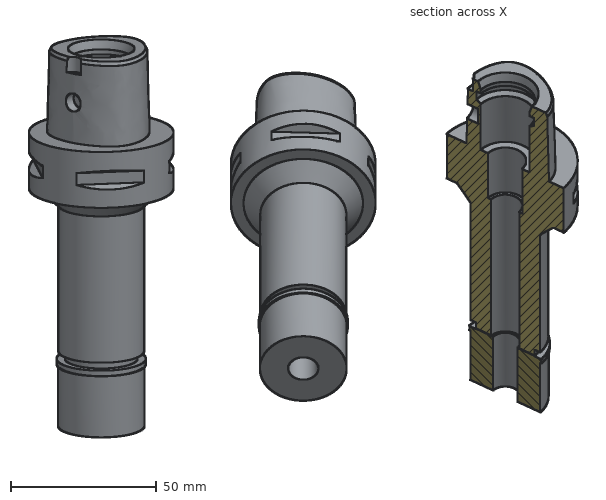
import cadquery as cq
import math

total_length = 135.0
taper_length = 30.0
flange_thickness = 20.0
cone_length = 6.0
neck_length = 2.7
nut_length = 24.0
flange_base = total_length - taper_length - flange_thickness
taper_base = flange_base + flange_thickness
cone_base = flange_base - cone_length
shaft_base = nut_length + neck_length

flange_diameter = 50.0
cone_diameter = 41.2
shaft_diameter = 29.7
neck_diameter = 25.1
nut_diameter = 30.0

lobe_mean_radius = 17.7
lobe_height = 1.1
taper_inset = 0.74
lobe_points = 72
rim_chamfer_height = 1.4
rim_chamfer_width = 0.7

mouth_diameter = 23.0
socket_diameter = 20.7
groove_diameter = 24.3
upper_bore_diameter = 14.5
lower_bore_diameter = 11.9
nut_bore_diameter = 10.4
mouth_depth = 3.2
lip_depth = 5.0
groove_depth = 8.4
ledge_depth = 9.6
socket_depth = taper_length
upper_bore_depth = socket_depth + flange_thickness

notch_diameter = 6.8
notch_depth = 5.4
notch_center_y = -17.21
side_hole_diameter = 6.3
side_hole_drop = 15.7
side_hole_floor_y = -11.6

slot_count = 4
slot_floor_distance = 22.0
slot_floor_width = 4.2
slot_drop = 0.1
slot_outer_width = 6.8

rim_diameter = 30.8
rim_height = 2.0


def lobed_wire(mean_radius, z):
    """Closed curve of constant width, with lobes of support function R + e*cos(3t)."""
    points = []
    for index in range(lobe_points):
        turn = 2 * math.pi * index / lobe_points
        support = mean_radius + lobe_height * math.cos(3 * turn)
        slope = -3 * lobe_height * math.sin(3 * turn)
        x = -support * math.sin(turn) - slope * math.cos(turn)
        y = support * math.cos(turn) - slope * math.sin(turn)
        points.append(cq.Vector(x, y, z))
    return cq.Wire.assembleEdges([cq.Edge.makeSpline(points, periodic=True)])


def lobed_frustum(base_radius, base_z, top_radius, top_z):
    wires = [lobed_wire(base_radius, base_z), lobed_wire(top_radius, top_z)]
    return cq.Workplane(obj=cq.Solid.makeLoft(wires, True))


def make_taper():
    chamfer_z = total_length - rim_chamfer_height
    top_radius = lobe_mean_radius - taper_inset
    cone = lobed_frustum(lobe_mean_radius, taper_base, top_radius, chamfer_z)
    rim = lobed_frustum(top_radius, chamfer_z, top_radius - rim_chamfer_width, total_length)
    return cone.union(rim)


def make_shank():
    """Flange, cone, shaft and neck, turned about Z."""
    profile = [
        (0, nut_length),
        (neck_diameter / 2, nut_length),
        (neck_diameter / 2, shaft_base),
        (shaft_diameter / 2, shaft_base),
        (shaft_diameter / 2, cone_base),
        (cone_diameter / 2, flange_base),
        (flange_diameter / 2, flange_base),
        (flange_diameter / 2, taper_base),
        (0, taper_base),
    ]
    return cq.Workplane("XZ").polyline(profile).close().revolve(360, (0, 0), (0, 1))


def make_bore():
    """Conical mouth, lip, undercut groove with a sloping ledge, socket and two bores, turned about Z."""
    upper_bore_base = total_length - upper_bore_depth
    socket_base = total_length - socket_depth
    groove_base = total_length - groove_depth
    lip_base = total_length - lip_depth
    profile = [
        (0, nut_length),
        (lower_bore_diameter / 2, nut_length),
        (lower_bore_diameter / 2, upper_bore_base),
        (upper_bore_diameter / 2, upper_bore_base),
        (upper_bore_diameter / 2, socket_base),
        (socket_diameter / 2, socket_base),
        (socket_diameter / 2, total_length - ledge_depth),
        (groove_diameter / 2, groove_base),
        (groove_diameter / 2, lip_base),
        (socket_diameter / 2, lip_base),
        (socket_diameter / 2, total_length - mouth_depth),
        (mouth_diameter / 2, total_length),
        (0, total_length),
    ]
    return cq.Workplane("XZ").polyline(profile).close().revolve(360, (0, 0), (0, 1))


def make_notch():
    return (
        cq.Workplane("XY", origin=(0, notch_center_y, total_length))
        .circle(notch_diameter / 2)
        .extrude(-notch_depth)
    )


def make_side_hole():
    """Blind radial hole, open toward -Y."""
    return (
        cq.Workplane("XZ", origin=(0, side_hole_floor_y, total_length - side_hole_drop))
        .circle(side_hole_diameter / 2)
        .extrude(flange_diameter / 2)
    )


def make_gripper_slot(angle):
    """Straight slot with flared walls, cut across the flange at the given angle about Z."""
    outer_radius = flange_diameter / 2
    middle_z = flange_base + flange_thickness / 2 - slot_drop
    profile = [
        (slot_floor_distance, middle_z - slot_floor_width / 2),
        (outer_radius, middle_z - slot_outer_width / 2),
        (outer_radius, middle_z + slot_outer_width / 2),
        (slot_floor_distance, middle_z + slot_floor_width / 2),
    ]
    slot = cq.Workplane("XZ").polyline(profile).close().extrude(outer_radius, both=True)
    return slot.rotate((0, 0, 0), (0, 0, 1), angle)


def make_holder():
    holder = make_shank().union(make_taper())
    holder = holder.cut(make_bore()).cut(make_notch()).cut(make_side_hole())
    for index in range(slot_count):
        angle = 45 + index * 360 / slot_count
        holder = holder.cut(make_gripper_slot(angle))
    return holder


def make_nut():
    """Clamping nut with a raised rim at its upper end and a through bore."""
    body = cq.Workplane("XY").circle(nut_diameter / 2).extrude(nut_length)
    rim = (
        cq.Workplane("XY", origin=(0, 0, nut_length))
        .circle(rim_diameter / 2)
        .extrude(-rim_height)
    )
    bore = cq.Workplane("XY").circle(nut_bore_diameter / 2).extrude(nut_length)
    return body.union(rim).cut(bore)


holder = make_holder()
nut = make_nut()
result = cq.Compound.makeCompound([holder.val(), nut.val()])